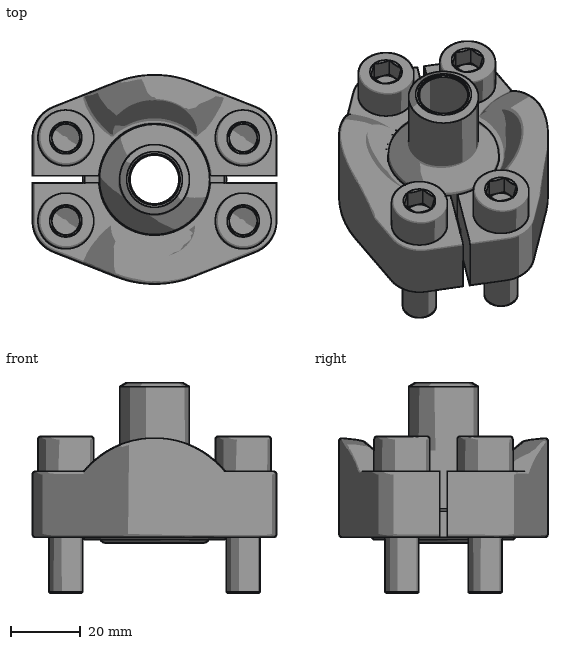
import cadquery as cq
import math

CLAMP_LENGTH = 70.0
CLAMP_WIDTH = 60.0
CLAMP_HEIGHT = 19.0
SPLIT_GAP = 2.0
BOLT_X = 25.4
BOLT_Y = 11.9
EDGE_FILLET = 1.0

DOME_RADIUS = 28.5
BOWL_RADIUS = 24.0
BOWL_CENTRE_Z = 35.7
BORE_DIAMETER = 32.0
BORE_FILLET = 0.5
BOLT_HOLE_DIAMETER = 10.5

COLLAR_DIAMETER = 41.3
COLLAR_BOTTOM = -0.6
COLLAR_TOP = 8.2
COLLAR_CHAMFER = 0.6
NECK_DIAMETER = 31.6
NECK_SPHERE_RADIUS = 20.0
NECK_SPHERE_Z = 7.0
NECK_FILLET = 1.0
PIPE_DIAMETER = 20.0
PIPE_TOP = 44.4
PIPE_FILLET = 1.0
PIPE_BORE_DIAMETER = 14.0
PIPE_BORE_CHAMFER = 0.35
WELD_BEVEL_WIDTH = 2.0
WELD_BEVEL_ANGLE = 30.0

RING_OUTER_DIAMETER = 31.6
RING_INNER_DIAMETER = 24.2
RING_PROJECTION = 1.0

HEAD_DIAMETER = 16.0
HEAD_HEIGHT = 10.0
HEAD_FILLET = 1.0
SHANK_DIAMETER = 9.7
SHANK_PROJECTION = 16.0
SHANK_CHAMFER = 0.5
SOCKET_FLATS = 8.0
SOCKET_DEPTH = 6.0
SOCKET_POINT_ANGLE = 120.0
SOCKET_TURN = 37.0

RIM_RADIUS = CLAMP_WIDTH / 2
BORE_RADIUS = BORE_DIAMETER / 2
CORNER_RADIUS = CLAMP_LENGTH / 2 - BOLT_X
RING_SECTION_RADIUS = (RING_OUTER_DIAMETER - RING_INNER_DIAMETER) / 4
RING_CENTRE_RADIUS = (RING_OUTER_DIAMETER + RING_INNER_DIAMETER) / 4
RING_CENTRE_Z = COLLAR_BOTTOM - RING_PROJECTION + RING_SECTION_RADIUS
BOLT_POSITIONS = [(x, y) for x in (-BOLT_X, BOLT_X) for y in (-BOLT_Y, BOLT_Y)]


def half_outline(height):
    """Prism over the +Y half of the clamp outline: rim arc, tangent flanks and rounded corners."""
    centre_distance = math.hypot(BOLT_X, BOLT_Y)
    flank_angle = math.atan2(BOLT_X, BOLT_Y) - math.acos((RIM_RADIUS - CORNER_RADIUS) / centre_distance)
    corner_angle = (flank_angle + math.pi / 2) / 2

    def on_corner(angle):
        return (BOLT_X + CORNER_RADIUS * math.sin(angle), BOLT_Y + CORNER_RADIUS * math.cos(angle))

    def mirrored(point):
        return (-point[0], point[1])

    flank_top = (RIM_RADIUS * math.sin(flank_angle), RIM_RADIUS * math.cos(flank_angle))
    flank_end = on_corner(flank_angle)
    corner_middle = on_corner(corner_angle)
    side_top = (CLAMP_LENGTH / 2, BOLT_Y)
    side_bottom = (CLAMP_LENGTH / 2, SPLIT_GAP / 2)
    return (
        cq.Workplane("XY")
        .moveTo(*side_bottom)
        .lineTo(*side_top)
        .threePointArc(corner_middle, flank_end)
        .lineTo(*flank_top)
        .threePointArc((0, RIM_RADIUS), mirrored(flank_top))
        .lineTo(*mirrored(flank_end))
        .threePointArc(mirrored(corner_middle), mirrored(side_top))
        .lineTo(*mirrored(side_bottom))
        .close()
        .extrude(height)
    )


def ball(radius, centre):
    """Sphere whose poles point along Y."""
    return cq.Workplane("XY").sphere(radius).rotate((0, 0, 0), (1, 0, 0), 90).translate(centre)


def cylinder(diameter, bottom, top):
    return cq.Workplane("XY").workplane(offset=bottom).circle(diameter / 2).extrude(top - bottom)


def cone(radius, base, height):
    """Cone about Z with its base at the given level and its tip `height` above it (below if negative)."""
    return (
        cq.Workplane("XZ")
        .moveTo(0, base)
        .lineTo(radius, base)
        .lineTo(0, base + height)
        .close()
        .revolve(360, (0, 0, 0), (0, 1, 0))
    )


def make_dome():
    """Raised dome on the plate, hollowed by the bowl and rounded where the two spheres meet."""
    dome = half_outline(2 * CLAMP_HEIGHT).cut(half_outline(CLAMP_HEIGHT))
    dome = dome.intersect(ball(DOME_RADIUS, (0, RIM_RADIUS, 0)))
    dome = dome.cut(ball(BOWL_RADIUS, (0, 0, BOWL_CENTRE_Z)))
    crest = cq.selectors.BoxSelector((-3.5, BORE_RADIUS, CLAMP_HEIGHT + 1.4), (3.5, 25.2, CLAMP_HEIGHT + 8.4))
    return dome.edges(crest).fillet(EDGE_FILLET)


def make_clamp_half():
    """The +Y half of the split clamp."""
    clamp = half_outline(CLAMP_HEIGHT).union(make_dome())

    dome_foot = cq.selectors.BoxSelector((-19.6, 10.5, CLAMP_HEIGHT - 0.1), (19.6, 21, CLAMP_HEIGHT + 0.1))
    clamp = clamp.edges(dome_foot).fillet(EDGE_FILLET)

    side = CLAMP_LENGTH / 2
    side_edge = cq.selectors.BoxSelector((side - 0.7, 0, CLAMP_HEIGHT - 0.7), (side + 0.7, BOLT_Y, CLAMP_HEIGHT + 0.7))
    clamp = clamp.edges(side_edge).fillet(EDGE_FILLET)

    clamp = clamp.faces("<Z").edges("not(<Y)").fillet(EDGE_FILLET)

    clamp = clamp.cut(cylinder(COLLAR_DIAMETER, -0.7, COLLAR_TOP))
    clamp = clamp.cut(cylinder(BORE_DIAMETER, -0.7, 2 * CLAMP_HEIGHT))
    mouth = cq.selectors.BoxSelector((-3.5, 7, CLAMP_HEIGHT - 0.1), (3.5, BORE_RADIUS, CLAMP_HEIGHT + 0.1))
    clamp = clamp.edges(mouth).fillet(BORE_FILLET)

    for x in (-BOLT_X, BOLT_X):
        clamp = clamp.cut(cylinder(BOLT_HOLE_DIAMETER, -0.7, 2 * CLAMP_HEIGHT).translate((x, BOLT_Y, 0)))
    return clamp


def make_nipple():
    """Weld nipple: sealing collar, spherical shoulder and pipe end around one bore."""
    pipe_radius = PIPE_DIAMETER / 2
    neck_radius = NECK_DIAMETER / 2
    neck_top = NECK_SPHERE_Z + math.sqrt(NECK_SPHERE_RADIUS**2 - neck_radius**2)
    sphere_top = NECK_SPHERE_Z + math.sqrt(NECK_SPHERE_RADIUS**2 - pipe_radius**2)
    middle_angle = (math.acos(neck_radius / NECK_SPHERE_RADIUS) + math.acos(pipe_radius / NECK_SPHERE_RADIUS)) / 2
    sphere_middle = (
        NECK_SPHERE_RADIUS * math.cos(middle_angle),
        NECK_SPHERE_Z + NECK_SPHERE_RADIUS * math.sin(middle_angle),
    )
    bevel_height = WELD_BEVEL_WIDTH * math.tan(math.radians(WELD_BEVEL_ANGLE))

    body = (
        cq.Workplane("XZ")
        .moveTo(0, COLLAR_TOP)
        .lineTo(neck_radius, COLLAR_TOP)
        .lineTo(neck_radius, neck_top)
        .threePointArc(sphere_middle, (pipe_radius, sphere_top))
        .lineTo(pipe_radius, PIPE_TOP - bevel_height)
        .lineTo(pipe_radius - WELD_BEVEL_WIDTH, PIPE_TOP)
        .lineTo(0, PIPE_TOP)
        .close()
        .revolve(360, (0, 0, 0), (0, 1, 0))
    )
    at_neck = cq.selectors.BoxSelector((-35, -35, neck_top - 0.1), (35, 35, neck_top + 0.1))
    body = body.edges(at_neck).fillet(NECK_FILLET)
    at_pipe = cq.selectors.BoxSelector((-35, -35, sphere_top - 0.1), (35, 35, sphere_top + 0.1))
    body = body.edges(at_pipe).fillet(PIPE_FILLET)

    collar = cylinder(COLLAR_DIAMETER, COLLAR_BOTTOM, COLLAR_TOP).edges().chamfer(COLLAR_CHAMFER)
    body = body.union(collar)

    body = body.cut(cylinder(PIPE_BORE_DIAMETER, COLLAR_BOTTOM, PIPE_TOP))
    body = body.faces(">Z").edges("%CIRCLE").edges(cq.selectors.RadiusNthSelector(0)).chamfer(PIPE_BORE_CHAMFER)

    groove = cylinder(RING_OUTER_DIAMETER, COLLAR_BOTTOM, RING_CENTRE_Z + RING_SECTION_RADIUS)
    groove = groove.cut(cylinder(RING_INNER_DIAMETER, COLLAR_BOTTOM, COLLAR_TOP))
    return body.cut(groove)


def make_seal_ring():
    return (
        cq.Workplane("XZ")
        .center(RING_CENTRE_RADIUS, RING_CENTRE_Z)
        .circle(RING_SECTION_RADIUS)
        .revolve(360, (-RING_CENTRE_RADIUS, 0, 0), (-RING_CENTRE_RADIUS, 1, 0))
    )


def make_bolt(x, y):
    """Socket head cap screw seated on the clamp's top face."""
    head_top = CLAMP_HEIGHT + HEAD_HEIGHT
    socket_bottom = head_top - SOCKET_DEPTH
    socket_corners = SOCKET_FLATS / math.cos(math.pi / 6)
    head = cylinder(HEAD_DIAMETER, CLAMP_HEIGHT, head_top).faces(">Z").edges().fillet(HEAD_FILLET)
    shank = cylinder(SHANK_DIAMETER, -SHANK_PROJECTION, CLAMP_HEIGHT)
    shank = shank.faces("<Z").edges().chamfer(SHANK_CHAMFER)

    hexagon = (
        cq.Workplane("XY")
        .workplane(offset=socket_bottom)
        .transformed(rotate=(0, 0, SOCKET_TURN))
        .polygon(6, socket_corners)
        .extrude(SOCKET_DEPTH)
    )
    point_depth = SOCKET_FLATS / 2 / math.tan(math.radians(SOCKET_POINT_ANGLE / 2))
    point = cone(SOCKET_FLATS / 2, socket_bottom, -point_depth)
    lead_in_depth = socket_corners / 2 / math.tan(math.radians(SOCKET_POINT_ANGLE / 2))
    lead_in = cone(socket_corners / 2, head_top, -lead_in_depth)
    return head.union(shank).cut(hexagon).cut(point).cut(lead_in).translate((x, y, 0))


rear_half = make_clamp_half()
front_half = rear_half.rotate((0, 0, 0), (0, 0, 1), 180)
nipple = make_nipple()
seal_ring = make_seal_ring()
bolts = [make_bolt(x, y) for x, y in BOLT_POSITIONS]

result = cq.Compound.makeCompound(
    [rear_half.val(), front_half.val(), nipple.val(), seal_ring.val()] + [bolt.val() for bolt in bolts]
)